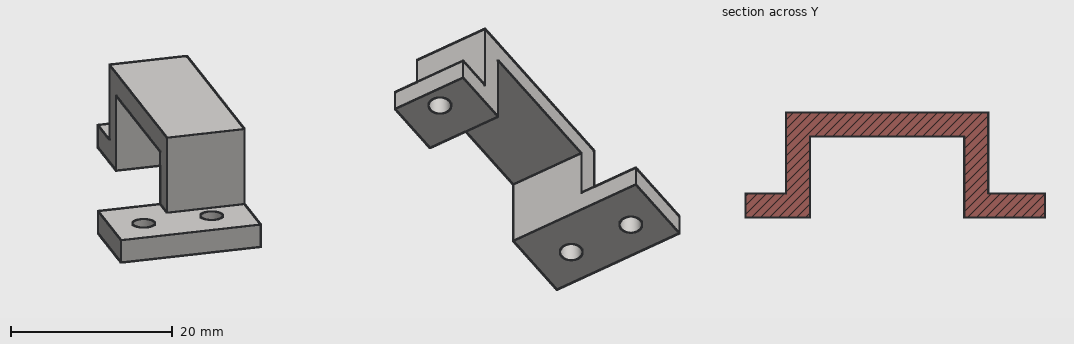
import cadquery as cq

bridge_length = 25.0
bridge_depth = 10.0
total_height = 13.0
thickness = 3.0

left_foot_reach = 5.0
right_foot_reach = 7.0
right_foot_depth = 18.0

hole_diameter = 2.8
right_hole_end_distance = 4.5
front_hole_spacing = 8.75

total_length = left_foot_reach + bridge_length + right_foot_reach
left_wall_outer = left_foot_reach
left_wall_inner = left_wall_outer + thickness
right_wall_outer = left_wall_outer + bridge_length
right_wall_inner = right_wall_outer - thickness


def make_bridge():
    """Hat-shaped profile with both feet, extruded over the bridge depth."""
    strap_underside = total_height - thickness
    profile = [
        (0, 0),
        (left_wall_inner, 0),
        (left_wall_inner, strap_underside),
        (right_wall_inner, strap_underside),
        (right_wall_inner, 0),
        (total_length, 0),
        (total_length, thickness),
        (right_wall_outer, thickness),
        (right_wall_outer, total_height),
        (left_wall_outer, total_height),
        (left_wall_outer, thickness),
        (0, thickness),
    ]
    return cq.Workplane("XZ").polyline(profile).close().extrude(bridge_depth)


def make_right_foot():
    """Long right foot, from the inner wall face to the right end."""
    return cq.Workplane("XY").box(
        total_length - right_wall_inner, right_foot_depth, thickness, centered=False
    ).translate((right_wall_inner, -right_foot_depth, 0))


def make_hole_cutters():
    """Vertical through holes: one in the left foot, two in the right foot."""
    rear_hole_y = -bridge_depth / 2
    right_hole_x = total_length - right_hole_end_distance
    hole_centers = [
        (left_foot_reach / 2, rear_hole_y),
        (right_hole_x, rear_hole_y),
        (right_hole_x, rear_hole_y - front_hole_spacing),
    ]
    return cq.Workplane("XY").pushPoints(hole_centers).circle(hole_diameter / 2).extrude(thickness)


result = make_bridge().union(make_right_foot()).cut(make_hole_cutters())